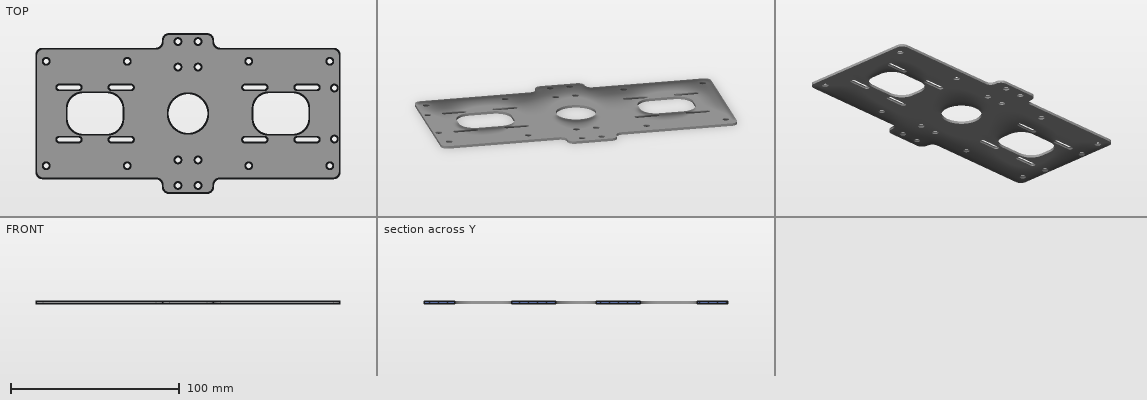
import cadquery as cq

BODY_LENGTH = 180.0
BODY_WIDTH = 77.0
TAB_LENGTH = 30.0
TAB_WIDTH = 94.5
THICKNESS = 1.58
CORNER_RADIUS = 4.0

SCREW_DIAMETER = 4.0
CENTRE_DIAMETER = 24.0
OUTER_SCREW_X = 84.0
INNER_SCREW_X = 36.0
BODY_SCREW_Y = 31.0
TAB_SCREW_X = 6.0
TAB_SCREW_OUTER_Y = 42.7
TAB_SCREW_INNER_Y = 27.5
END_SCREW_X = 86.8
END_SCREW_Y = 15.1

MOUNT_X = 55.0
SLOT_SPACING = 31.0
SLOT_LENGTH = 15.0
SLOT_WIDTH = 3.2
WINDOW_LENGTH = 33.5
WINDOW_WIDTH = 25.0
WINDOW_RADIUS = 9.5


def mirrored(x, y):
    """The point and its reflections in both centre lines."""
    return [(side_x * x, side_y * y) for side_x in (-1, 1) for side_y in (-1, 1)]


def make_plate():
    """Cross-shaped plate with every vertical corner rounded, inside and out."""
    body = cq.Workplane("XY").box(BODY_LENGTH, BODY_WIDTH, THICKNESS)
    tab = cq.Workplane("XY").box(TAB_LENGTH, TAB_WIDTH, THICKNESS)
    return body.union(tab).edges("|Z").fillet(CORNER_RADIUS)


def make_round_cutters(points, diameter):
    """Cylinders through the plate at the given points."""
    return cq.Workplane("XY").pushPoints(points).circle(diameter / 2).extrude(THICKNESS, both=True)


def make_mount_cutter(centre_x):
    """Rounded window and its four surrounding slots."""
    centre = cq.Workplane("XY").center(centre_x, 0)
    window = (
        centre.rect(WINDOW_LENGTH, WINDOW_WIDTH)
        .extrude(THICKNESS, both=True)
        .edges("|Z")
        .fillet(WINDOW_RADIUS)
    )
    slots = (
        cq.Workplane("XY")
        .center(centre_x, 0)
        .pushPoints(mirrored(SLOT_SPACING / 2, SLOT_SPACING / 2))
        .slot2D(SLOT_LENGTH, SLOT_WIDTH)
        .extrude(THICKNESS, both=True)
    )
    return window.union(slots)


screw_points = (
    mirrored(OUTER_SCREW_X, BODY_SCREW_Y)
    + mirrored(INNER_SCREW_X, BODY_SCREW_Y)
    + mirrored(TAB_SCREW_X, TAB_SCREW_OUTER_Y)
    + mirrored(TAB_SCREW_X, TAB_SCREW_INNER_Y)
    + [(END_SCREW_X, -END_SCREW_Y), (END_SCREW_X, END_SCREW_Y)]
)

result = make_plate()
result = result.cut(make_round_cutters(screw_points, SCREW_DIAMETER))
result = result.cut(make_round_cutters([(0, 0)], CENTRE_DIAMETER))
for mount_x in (-MOUNT_X, MOUNT_X):
    result = result.cut(make_mount_cutter(mount_x))